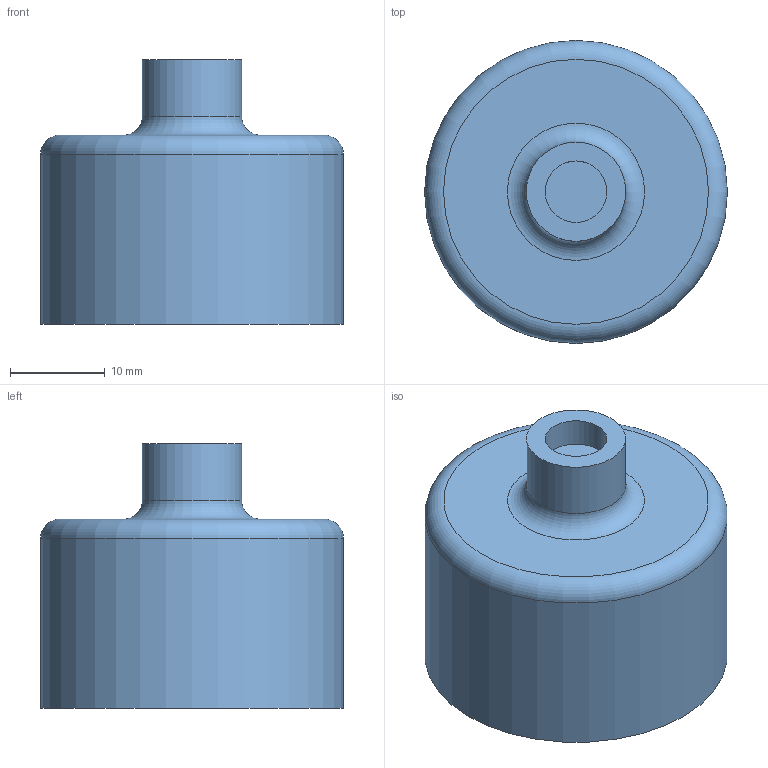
import cadquery as cq

body_diameter = 32.0
body_height = 20.0
shoulder_radius = 2.0

neck_diameter = 10.5
neck_height = 8.0
neck_root_radius = 2.0

bore_diameter = 6.5
bore_depth = 3.0

total_height = body_height + neck_height


def make_body():
    """Cylinder with a rounded top edge."""
    body = cq.Workplane("XY").circle(body_diameter / 2).extrude(body_height)
    return body.faces(">Z").edges().fillet(shoulder_radius)


def make_neck():
    """Revolved neck that flares out through a concave fillet at its root."""
    neck_radius = neck_diameter / 2
    root_top = body_height + neck_root_radius
    return (
        cq.Workplane("XZ")
        .moveTo(0, body_height)
        .lineTo(neck_radius + neck_root_radius, body_height)
        .radiusArc((neck_radius, root_top), neck_root_radius)
        .lineTo(neck_radius, total_height)
        .lineTo(0, total_height)
        .close()
        .revolve(360, (0, 0, 0), (0, 1, 0))
    )


def make_bore():
    """Flat-bottomed cylinder to remove from the top of the neck."""
    bore_floor = total_height - bore_depth
    return cq.Workplane("XY").workplane(offset=bore_floor).circle(bore_diameter / 2).extrude(bore_depth)


result = make_body().union(make_neck()).cut(make_bore())